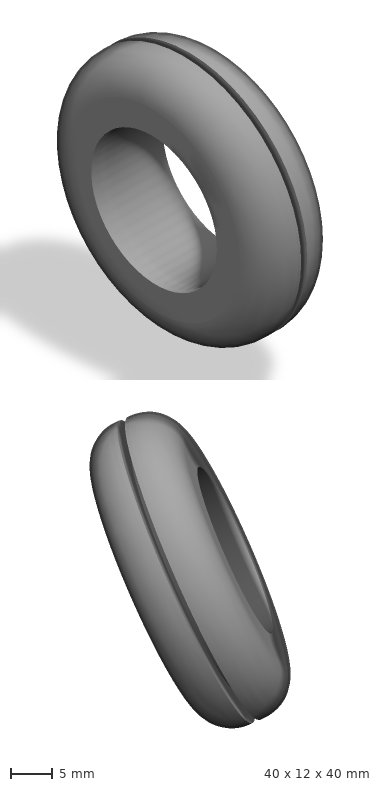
import cadquery as cq

outer_diameter = 40.0
bore_diameter = 22.0
groove_diameter = 32.0
total_width = 12.0
groove_width = 1.0
rim_radius = 5.0


def disc(diameter, width):
    """Cylinder along Y, centred on the origin."""
    return cq.Workplane("XZ", origin=(0, width / 2, 0)).circle(diameter / 2).extrude(width)


def rounded_body():
    """Full-width disc with both outer edges rounded."""
    return disc(outer_diameter, total_width).faces("<Y or >Y").edges().fillet(rim_radius)


def panel_groove():
    """Ring removed from the middle of the rim, where the panel edge sits."""
    return disc(outer_diameter, groove_width).cut(disc(groove_diameter, groove_width))


result = rounded_body().cut(panel_groove()).cut(disc(bore_diameter, total_width))